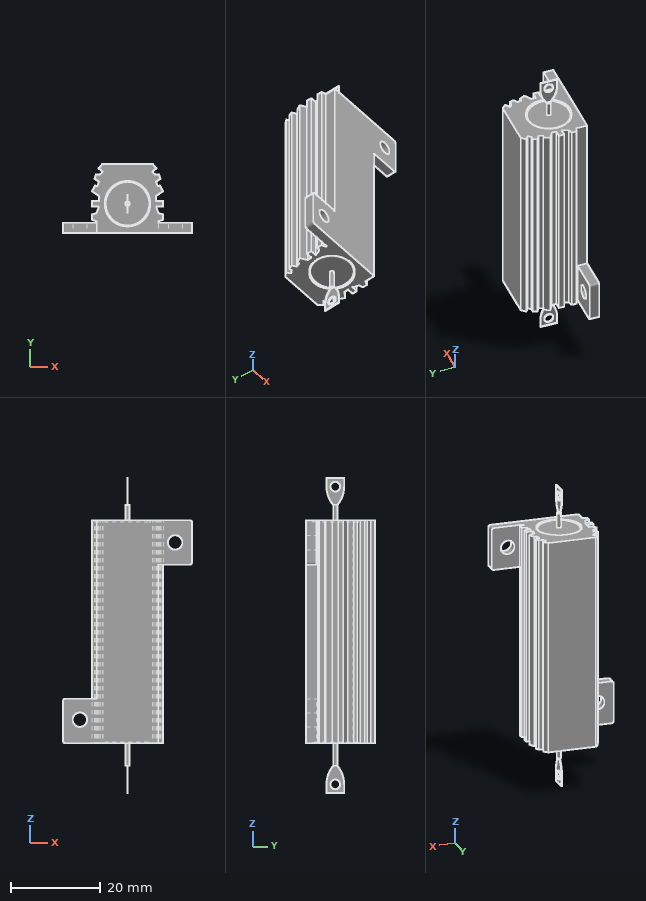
import cadquery as cq

body_length = 50.0
body_height = 15.5
base_half_width = 6.9
core_half_width = 6.4
fin_half_width = 8.0
axis_height = 6.6
middle_fin_thickness = 1.3

lug_reach = 14.5
lug_thickness = 2.3
lug_length = 10.0
lug_corner_radius = 0.6
lug_hole_diameter = 3.2
lug_hole_offset = 10.7
lug_hole_from_top = 5.0
lug_hole_from_bottom = 5.3

cap_diameter = 9.75
cap_rim_radius = 0.2
groove_outer_diameter = 10.25
groove_depth = 0.35

overall_length = 70.65
wire_diameter = 1.0
top_wire_length = 3.4
bottom_wire_length = 5.0
top_terminal_length = 9.5
bottom_terminal_length = overall_length - body_length - top_terminal_length
tab_width = 4.0
tab_thickness = 0.2
tab_hole_diameter = 2.1
tab_hole_from_end = 2.0


def make_body():
    """Extrude the mirrored fin outline over the full body length."""
    middle_fin_top = axis_height + middle_fin_thickness / 2
    middle_fin_bottom = axis_height - middle_fin_thickness / 2
    right_side = [
        (base_half_width, 0),
        (base_half_width, 2.6),
        (fin_half_width, 3.0),
        (fin_half_width, 4.2),
        (7.0, 4.45),
        (core_half_width, middle_fin_bottom),
        (fin_half_width, middle_fin_bottom),
        (fin_half_width, middle_fin_top),
        (core_half_width, middle_fin_top),
        (core_half_width, 8.35),
        (fin_half_width, 9.3),
        (7.3, 10.7),
        (6.8, 10.5),
        (core_half_width, 11.5),
        (7.4, 12.15),
        (7.05, 13.15),
        (6.15, 13.15),
        (5.6, 13.8),
        (6.5, 14.5),
        (5.65, body_height),
    ]
    left_side = [(-x, y) for x, y in reversed(right_side)]
    return cq.Workplane("XY").polyline(right_side + left_side).close().extrude(body_length)


def make_lug(side, bottom, hole_height):
    """Flat lug on one side (+1 or -1), starting at height bottom."""
    lug = (
        cq.Workplane("XY")
        .box(lug_reach, lug_thickness, lug_length, centered=(True, False, False))
        .translate((side * lug_reach / 2, 0, bottom))
        .edges("|Y and " + (">X" if side > 0 else "<X"))
        .fillet(lug_corner_radius)
    )
    hole = (
        cq.Workplane("XZ", origin=(side * lug_hole_offset, 0, hole_height))
        .circle(lug_hole_diameter / 2)
        .extrude(-lug_thickness)
    )
    return lug.cut(hole)


def make_groove():
    """Ring-shaped cutter, open side up, leaving a cap with a rounded rim."""
    cap = cq.Workplane("XY").circle(cap_diameter / 2).extrude(groove_depth)
    cap = cap.edges(">Z").fillet(cap_rim_radius)
    return cq.Workplane("XY").circle(groove_outer_diameter / 2).extrude(groove_depth).cut(cap)


def make_terminal(wire_length, total_length):
    """Terminal pointing up from the origin, its tab in the YZ plane."""
    wire_radius = wire_diameter / 2
    half_width = tab_width / 2
    hole_height = total_length - tab_hole_from_end
    flank_width = half_width - wire_radius
    flank_height = hole_height - wire_length
    flank_radius = (flank_width**2 + flank_height**2) / (2 * flank_width)
    wire = cq.Workplane("XY").circle(wire_radius).extrude(wire_length)
    tab = (
        cq.Workplane("YZ")
        .moveTo(-wire_radius, wire_length)
        .lineTo(wire_radius, wire_length)
        .radiusArc((half_width, hole_height), -flank_radius)
        .lineTo(half_width, total_length)
        .lineTo(-half_width, total_length)
        .lineTo(-half_width, hole_height)
        .radiusArc((-wire_radius, wire_length), -flank_radius)
        .close()
        .extrude(tab_thickness / 2, both=True)
    )
    hole = (
        cq.Workplane("YZ", origin=(0, 0, hole_height))
        .circle(tab_hole_diameter / 2)
        .extrude(tab_thickness, both=True)
    )
    return wire.union(tab.cut(hole))


top_lug = make_lug(1, body_length - lug_length, body_length - lug_hole_from_top)
bottom_lug = make_lug(-1, 0, lug_hole_from_bottom)
housing = make_body().union(top_lug).union(bottom_lug)
top_groove = make_groove().translate((0, axis_height, body_length - groove_depth))
bottom_groove = make_groove().rotate((0, 0, 0), (0, 1, 0), 180).translate((0, axis_height, groove_depth))
housing = housing.cut(top_groove).cut(bottom_groove)

top_terminal = make_terminal(top_wire_length, top_terminal_length).translate((0, axis_height, body_length))
bottom_terminal = (
    make_terminal(bottom_wire_length, bottom_terminal_length)
    .rotate((0, 0, 0), (0, 1, 0), 180)
    .translate((0, axis_height, 0))
)

result = housing.union(top_terminal).union(bottom_terminal)